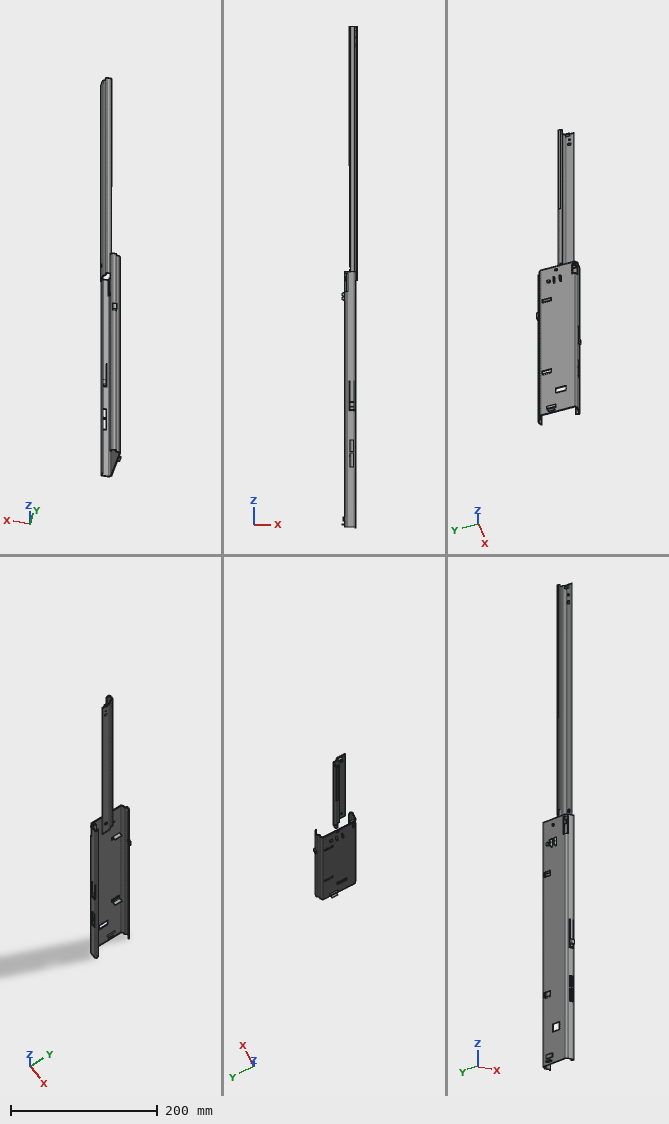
import cadquery as cq
import math

SHEET = 1.5
HALF_SHEET = SHEET / 2
RAIL_BEND_RADIUS = 0.85
SLIDER_BEND_RADIUS = 1.5

RAIL_LENGTH = 349.0
RAIL_HALF_WIDTH = 29.4
BUMP_HALF_WIDTH = 62.55 / 2
WEB_PROJECTION = 4.0
LIP_TIP_DROP = 1.3
HOOK_END = (14.6, 26.4)

TOP = 685.03 - LIP_TIP_DROP
SLIDER_BOTTOM = 337.0
SLIDER_FACE = 21.79 - WEB_PROJECTION
SLIDER_TOP_Y = 0.8
SLIDER_END_Y = -19.9
LIP_X = 6.3
LIP_END_Y = -6.0
STEP_X = 14.1
PLATE_X = SLIDER_FACE - HALF_SHEET
PLATE_HOLE_Y = -13.4

STRIP_LENGTH = 190.0
STRIP_THICKNESS = 0.5
STRIP_WIDTH = 3.0
STRIP_EDGE_Y = -3.5


def box(x_range, y_range, z_range):
    """Block spanning the given (low, high) ranges."""
    sizes = [high - low for low, high in (x_range, y_range, z_range)]
    corner = (x_range[0], y_range[0], z_range[0])
    return cq.Workplane("XY").box(*sizes, centered=False).translate(corner)


def x_cylinder(diameter, x_range, y, z):
    """Cylinder along X between two X values."""
    low, high = x_range
    disc = cq.Workplane("YZ", origin=(low, y, z)).circle(diameter / 2)
    return disc.extrude(high - low)


def bent_sheet(corners, bend_radius, z_range):
    """Sheet of even thickness along a path through the corners, with every bend rounded."""
    points = [cq.Vector(*corner) for corner in corners]
    path = cq.Workplane("XY", origin=(0, 0, z_range[0])).moveTo(*corners[0])
    for before, bend, after in zip(points, points[1:], points[2:]):
        to_before = (before - bend).normalized()
        to_after = (after - bend).normalized()
        half_angle = to_before.getAngle(to_after) / 2
        tangent_length = bend_radius / math.tan(half_angle)
        apex_distance = bend_radius / math.sin(half_angle) - bend_radius
        start = bend + to_before * tangent_length
        apex = bend + (to_before + to_after).normalized() * apex_distance
        end = bend + to_after * tangent_length
        path = path.lineTo(start.x, start.y)
        path = path.threePointArc((apex.x, apex.y), (end.x, end.y))
    path = path.lineTo(*corners[-1])
    return path.offset2D(HALF_SHEET).extrude(z_range[1] - z_range[0])


def rail_sheet():
    """Web with a bevelled flange on the -Y side and a stepped hook on the +Y side."""
    flange_y = RAIL_HALF_WIDTH - HALF_SHEET
    corners = [
        (13.3, -24.0),
        (14.6, -27.2),
        (13.0, -flange_y),
        (3.7, -flange_y),
        (HALF_SHEET, -26.0),
        (HALF_SHEET, 23.0),
        (3.2, 25.2),
        (6.6, 25.7),
        (7.8, flange_y),
        (12.2, flange_y),
        HOOK_END,
    ]
    return bent_sheet(corners, RAIL_BEND_RADIUS, (0, RAIL_LENGTH))


def lip_tip():
    """Small nib below the hooked edge, thinner than the sheet."""
    x, y = HOOK_END
    nib = cq.Workplane("XY", origin=(x, y, -LIP_TIP_DROP)).circle(0.8 * HALF_SHEET)
    return nib.extrude(LIP_TIP_DROP + SHEET)


def flange_bump(x_range, z_range, side):
    """Low ramped bump on the outside of a flange; side is +1 or -1 along Y."""
    base = RAIL_HALF_WIDTH - SHEET
    low, high = z_range
    ramp = 2.0
    profile = [
        (side * base, low),
        (side * BUMP_HALF_WIDTH, low + ramp),
        (side * BUMP_HALF_WIDTH, high - ramp),
        (side * base, high),
    ]
    outline = cq.Workplane("YZ", origin=(x_range[0], 0, 0)).polyline(profile).close()
    return outline.extrude(x_range[1] - x_range[0])


def support_slot(rail, z_range, tab_at_top):
    """Slot in the web whose cut-out metal is bent inward as a tab along one edge."""
    slot_y = (7.5, 20.5)
    tab_y = (9.0, 20.5)
    tab_depth = 6.9
    low, high = z_range
    tab_z = (high, high + SHEET) if tab_at_top else (low - SHEET, low)
    rail = rail.cut(box((-1, SHEET + 1), slot_y, z_range))
    return rail.union(box((0, tab_depth), tab_y, tab_z))


def hook_prong(y_range, z_low):
    """Two-toothed prong standing out from the web."""
    tooth = 6.5
    profile = [
        (HALF_SHEET, z_low),
        (-WEB_PROJECTION, z_low + 0.4 * tooth),
        (-WEB_PROJECTION, z_low + 0.7 * tooth),
        (-WEB_PROJECTION / 2, z_low + tooth),
        (-WEB_PROJECTION, z_low + 1.3 * tooth),
        (-WEB_PROJECTION, z_low + 1.6 * tooth),
        (HALF_SHEET, z_low + 2 * tooth),
    ]
    outline = cq.Workplane("XZ", origin=(0, y_range[1], 0)).polyline(profile).close()
    return outline.extrude(y_range[1] - y_range[0])


def flange_openings(rail):
    """Spring tongue and two plain slots in the -Y flange."""
    through_y = (-RAIL_HALF_WIDTH - 1, -RAIL_HALF_WIDTH + SHEET + 0.5)
    flange_y = (-RAIL_HALF_WIDTH, -RAIL_HALF_WIDTH + SHEET)
    tongue_x = (7.0, 13.0)
    rail = rail.cut(box((6.0, tongue_x[1]), through_y, (159.0, 199.5)))
    rail = rail.union(box(tongue_x, flange_y, (160.5, 199.5)))
    rail = rail.union(flange_bump(tongue_x, (163.0, 172.5), -1))
    for z_range in ((82.5, 101.0), (103.5, 119.0)):
        rail = rail.cut(box((7.0, 12.0), through_y, z_range))
    return rail


def corner_recess(rail):
    """Pocket in the bevelled corner near the upper end, floored by a set-back ribbed plate."""
    inner_y = -22.5
    plate_edge_y = 1.0 - RAIL_HALF_WIDTH
    depth = 4.2
    plate_x = (depth - SHEET, depth + 0.6)
    wall_y = (inner_y, inner_y + SHEET)
    z_range = (321.5, 346.5)
    rib_z = (336.0, 342.0)
    rail = rail.cut(box((-1, depth), (-RAIL_HALF_WIDTH - 1, inner_y), z_range))
    rail = rail.union(box(plate_x, (plate_edge_y, wall_y[1]), z_range))
    rail = rail.union(box((HALF_SHEET, depth), wall_y, z_range))
    return rail.union(box((SHEET, depth), (plate_edge_y + SHEET, inner_y), rib_z))


def end_tab(rail):
    """Tab pressed outward near the lower end, with a spur along its lower edge."""
    rail = rail.union(box((-WEB_PROJECTION / 2, HALF_SHEET), (0.5, 13.5), (8.5, 14.0)))
    return rail.union(box((-WEB_PROJECTION, HALF_SHEET), (2.5, 11.5), (3.0, 4.5)))


def build_outer_rail():
    through_web = (-1, SHEET + 1)
    window_y = (-13.5, 1.2)
    window_z = (44.5, 55.5)
    boss_x = (-WEB_PROJECTION / 2, HALF_SHEET)
    rail = rail_sheet().union(lip_tip())
    rail = rail.union(flange_bump((7.0, 12.5), (247.0, 260.5), 1))
    rail = flange_openings(rail)
    rail = support_slot(rail, (270.0, 276.5), True)
    rail = support_slot(rail, (98.0, 105.0), False)
    rail = rail.cut(box(through_web, window_y, window_z))
    rail = rail.cut(x_cylinder(4.0, through_web, 0.9, 340.5))
    rail = corner_recess(rail)
    rail = rail.union(x_cylinder(5.0, boss_x, 11.0, 315.0))
    for prong_y in ((2.0, 4.0), (-7.0, -5.0)):
        rail = rail.union(hook_prong(prong_y, 308.5))
    return end_tab(rail)


def build_slider():
    flange_y = SLIDER_TOP_Y - HALF_SHEET
    lip_x = LIP_X + HALF_SHEET
    corners = [
        (lip_x, LIP_END_Y + HALF_SHEET),
        (lip_x, flange_y),
        (STEP_X, flange_y),
        (STEP_X, -4.5),
        (PLATE_X, -7.5),
        (PLATE_X, SLIDER_END_Y + HALF_SHEET),
    ]
    slider = bent_sheet(corners, SLIDER_BEND_RADIUS, (SLIDER_BOTTOM, TOP))

    lip_cut_x = (LIP_X - 1, LIP_X + SHEET)
    slider = slider.cut(box(lip_cut_x, (LIP_END_Y - 1, -3.0), (SLIDER_BOTTOM, 362.0)))
    slider = slider.cut(box(lip_cut_x, (LIP_END_Y - 1, SLIDER_TOP_Y + 1), (351.5, 355.5)))

    plate_inside = SLIDER_FACE - SHEET
    slider = slider.cut(x_cylinder(4.5, (plate_inside - 1, SLIDER_FACE + 1), PLATE_HOLE_Y, 360.0))
    for diameter, z in ((5.0, 658.0), (3.0, 668.5)):
        dimple_x = (plate_inside - 0.8, PLATE_X)
        slider = slider.union(x_cylinder(diameter, dimple_x, PLATE_HOLE_Y, z))
    stop_tab = box((STEP_X - HALF_SHEET, PLATE_X), (-14.0, -8.0), (TOP - 5.5, TOP - 2.5))
    return slider.union(stop_tab)


def build_strip():
    strip_y = (STRIP_EDGE_Y, STRIP_EDGE_Y + STRIP_WIDTH)
    return box((LIP_X - STRIP_THICKNESS, LIP_X), strip_y, (TOP - STRIP_LENGTH, TOP))


outer_rail = build_outer_rail()
slider = build_slider()
strip = build_strip()

result = cq.Compound.makeCompound([
    outer_rail.solids().val(),
    slider.solids().val(),
    strip.solids().val(),
])